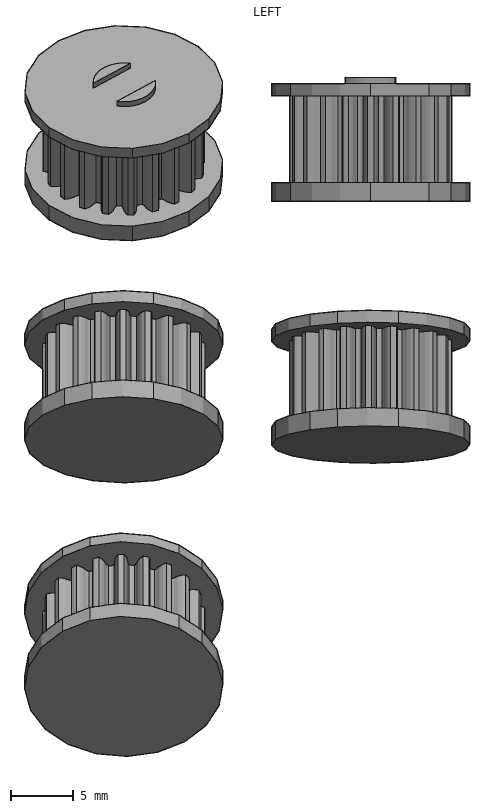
import cadquery as cq

flange_diameter = 16.0
flange_sides = 20
base_thickness = 1.5
cap_thickness = 1.0

tooth_count = 20
drum_radius = 6.55
drum_height = 7.0
drum_sides = 4 * tooth_count

groove_half_outline = [
    (0.78, 0.05),
    (0.6, 0.27),
    (0.43, 0.58),
    (0.32, 1.0),
    (0.22, 1.17),
    (0.0, 1.2),
]
groove_clearance = 0.16

boss_diameter = 5.04
boss_center_x = 0.05
boss_center_y = 0.03
boss_height = 0.5
boss_slot_width = 3.0

drum_bottom = base_thickness
cap_bottom = drum_bottom + drum_height
cap_top = cap_bottom + cap_thickness


def polygon_prism(diameter, sides, bottom, height):
    """Regular prism with a corner on +X; the diameter is across its corners."""
    return (
        cq.Workplane("XY")
        .workplane(offset=bottom)
        .polygon(sides, diameter)
        .extrude(height)
    )


def groove_cutter():
    """Prism that cuts one tooth groove, centred on the +X direction."""
    mouth_half_width = groove_half_outline[0][0]
    outer_radius = drum_radius + groove_clearance
    right_side = [(outer_radius, -mouth_half_width)]
    right_side += [(drum_radius - depth, -half) for half, depth in groove_half_outline]
    left_side = [(x, -y) for x, y in reversed(right_side[:-1])]
    return (
        cq.Workplane("XY")
        .workplane(offset=drum_bottom)
        .polyline(right_side + left_side)
        .close()
        .extrude(drum_height)
    )


def toothed_drum():
    """Drum with teeth centred on the axes and a groove between each pair."""
    drum = polygon_prism(2 * drum_radius, drum_sides, drum_bottom, drum_height)
    tooth_angle = 360 / tooth_count
    cutter = groove_cutter()
    for index in range(tooth_count):
        angle = (index + 0.5) * tooth_angle
        drum = drum.cut(cutter.rotate((0, 0, 0), (0, 0, 1), angle))
    return drum


def make_pulley():
    """Base flange with the toothed drum standing on it."""
    base = polygon_prism(flange_diameter, flange_sides, 0, base_thickness)
    return base.union(toothed_drum())


def split_boss():
    """Two disc segments left on either side of the slot."""
    top_plane = cq.Workplane("XY").workplane(offset=cap_top)
    disc = (
        top_plane.center(boss_center_x, boss_center_y)
        .circle(boss_diameter / 2)
        .extrude(boss_height)
    )
    slot_length = flange_diameter / 2
    slot = top_plane.rect(boss_slot_width, slot_length).extrude(boss_height)
    return disc.cut(slot)


def make_cap():
    """Top flange that closes the drum, with the split boss on its face."""
    flange = polygon_prism(flange_diameter, flange_sides, cap_bottom, cap_thickness)
    return flange.union(split_boss())


pulley = make_pulley()
cap = make_cap()

result = cq.Compound.makeCompound([pulley.val(), cap.val()])